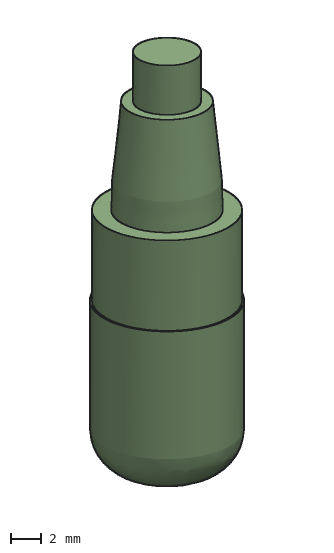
import cadquery as cq

total_height = 29.7
cap_top = 12.05
body_top = 18.47
collar_top = 20.65
neck_top = 26.2

cap_diameter = 10.0
body_diameter = 9.75
collar_bottom_diameter = 7.25
collar_top_diameter = 7.13
neck_top_diameter = 5.97
pin_diameter = 4.43

rounding_radius = 3.0


def make_cap():
    """Solid lower cap with a rounded bottom edge."""
    cap_blank = cq.Workplane("XY").circle(cap_diameter / 2).extrude(cap_top)
    return cap_blank.faces("<Z").edges().fillet(rounding_radius)


def make_stem():
    """Turned stem on the flat top of the cap: body, slightly tapered collar, tapered neck and end pin."""
    half_profile = (
        cq.Workplane("XZ")
        .moveTo(0, cap_top)
        .lineTo(body_diameter / 2, cap_top)
        .lineTo(body_diameter / 2, body_top)
        .lineTo(collar_bottom_diameter / 2, body_top)
        .lineTo(collar_top_diameter / 2, collar_top)
        .lineTo(neck_top_diameter / 2, neck_top)
        .lineTo(pin_diameter / 2, neck_top)
        .lineTo(pin_diameter / 2, total_height)
        .lineTo(0, total_height)
        .close()
    )
    return half_profile.revolve(360, (0, 0, 0), (0, 1, 0))


cap = make_cap()
stem = make_stem()
result = cq.Compound.makeCompound([cap.val(), stem.val()])